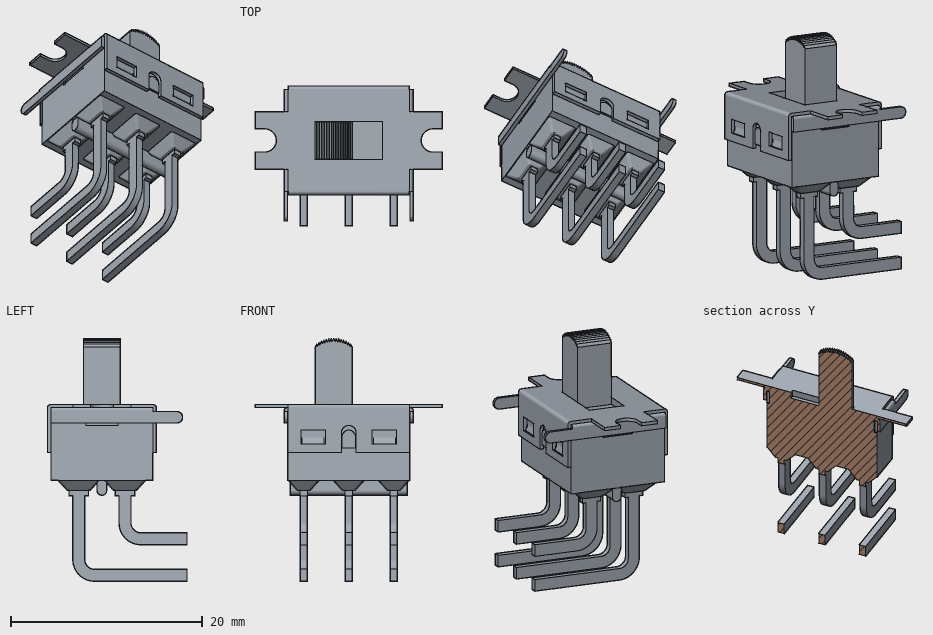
import cadquery as cq
import math


overall_width = 14.61
overall_height = 25.37

sheet = 0.37
cover_top_thickness = 0.34
cover_length = 12.68
cover_width = 11.40
cover_drop = 5.02
ear_span = 19.56
ear_width = 6.03
notch_diameter = 2.4
notch_center_x = 8.77

window_x = 3.72
window_length = 2.54
window_top = -2.68
window_bottom = -4.15
catch_x = 3.75
catch_length = 2.29
catch_top = -3.49
catch_depth = 0.20
keyway_width = 1.55
keyway_top = -2.20
key_width = 1.39
key_bottom = -4.56
key_top = -2.68
key_depth = 0.17

housing_length = 12.76
housing_width = cover_width - 2 * sheet
housing_top = -2 * sheet
housing_bottom = -7.93
end_pocket_width = 3.35
end_pocket_bottom = -2.21
end_pocket_depth = 0.30
rib_length = 12.23
rib_width = 1.02
rib_bottom = -9.49
rib_edge_radius = 0.505

bracket_span = housing_length + 2 * sheet
bracket_bend_radius = 0.33
bracket_bottom = -1.95
prong_height = 1.22
prong_tip_y = -8.43

slot_length = 7.06
slot_width = 3.94
slider_length = 3.88
slider_width = 3.88
slider_end_gap = 0.02
slider_top = 6.90
tooth_pitch = 0.254
teeth_per_side = 7
tooth_tip_radius = 2.90
tooth_outer_slope = 2.0
tooth_inner_slope = 4.0

terminal_pitch_x = 4.70
terminal_pitch_y = 4.83
terminal_thickness = 0.76
terminal_depth = 1.27
terminal_end_y = cover_width / 2 - overall_width
bend_inner_radius = 1.02
lower_terminal_bottom = slider_top - overall_height
terminal_level_step = 3.81
shoulder_width = 2.05
shoulder_bottom = -9.54

collar_top_size = (3.24, 4.32)
collar_end_size = (1.34, 2.42)
collar_corner_radius = 0.25
collar_height = 1.04
collar_end_fillet = 0.10

overlap = 0.2


def box(x_range, y_range, z_range):
    """Box between the given limits on each axis."""
    limits = (x_range, y_range, z_range)
    sizes = [high - low for low, high in limits]
    lows = [low for low, _ in limits]
    return cq.Workplane("XY").box(*sizes, centered=False).translate(tuple(lows))


def centered_box(length, width, bottom, top):
    """Box centred on the Z axis."""
    return box((-length / 2, length / 2), (-width / 2, width / 2), (bottom, top))


def arch(width, bottom, top, y_front, y_back):
    """Round-topped upright block running from y_front back to y_back."""
    radius = width / 2
    return (
        cq.Workplane("XZ", origin=(0, y_front, 0))
        .moveTo(-radius, bottom)
        .lineTo(radius, bottom)
        .lineTo(radius, top - radius)
        .threePointArc((0, top), (-radius, top - radius))
        .close()
        .extrude(y_front - y_back)
    )


def make_cover():
    """Folded cover with notched mounting ears and openings in both flanges."""
    cover = centered_box(cover_length, cover_width, -cover_drop, 0)
    cover = cover.edges("|X and >Z").fillet(sheet)
    cover = cover.cut(centered_box(cover_length, housing_width, -cover_drop, -cover_top_thickness))
    cover = cover.union(centered_box(ear_span, ear_width, -cover_top_thickness, 0))

    notch_radius = notch_diameter / 2
    for side in (-1, 1):
        notch = (
            cq.Workplane("XY", origin=(side * notch_center_x, 0, -cover_top_thickness))
            .circle(notch_radius)
            .extrude(cover_top_thickness)
        )
        mouth_x = sorted((side * notch_center_x, side * ear_span / 2))
        mouth = box(mouth_x, (-notch_radius, notch_radius), (-cover_top_thickness, 0))
        cover = cover.cut(notch).cut(mouth)

        window_center = side * window_x
        window = box(
            (window_center - window_length / 2, window_center + window_length / 2),
            (-cover_width / 2, cover_width / 2),
            (window_bottom, window_top),
        )
        cover = cover.cut(window)

    keyway = arch(keyway_width, -cover_drop, keyway_top, cover_width / 2, -cover_width / 2)
    return cover.cut(keyway)


def make_catch(center_x):
    """Wedge on the front of the housing that thickens downwards."""
    face_y = -housing_width / 2
    return (
        cq.Workplane("YZ", origin=(center_x - catch_length / 2, 0, 0))
        .moveTo(face_y, catch_top)
        .lineTo(face_y - catch_depth, window_bottom)
        .lineTo(face_y + overlap, window_bottom)
        .lineTo(face_y + overlap, catch_top)
        .close()
        .extrude(catch_length)
    )


def make_housing():
    """Housing block with cover catches, keys, end pockets and a bottom rib."""
    housing = centered_box(housing_length, housing_width, housing_bottom, housing_top)
    face_y = housing_width / 2

    front_details = arch(key_width, key_bottom, key_top, overlap - face_y, -face_y - key_depth)
    for side in (-1, 1):
        front_details = front_details.union(make_catch(side * catch_x))
    housing = housing.union(front_details).union(front_details.mirror("XZ"))

    for side in (-1, 1):
        end_x = side * housing_length / 2
        pocket_x = sorted((end_x, end_x - side * end_pocket_depth))
        pocket_y = (-end_pocket_width / 2, end_pocket_width / 2)
        housing = housing.cut(box(pocket_x, pocket_y, (end_pocket_bottom, housing_top)))

    rib = centered_box(rib_length, rib_width, rib_bottom, housing_bottom + overlap)
    return housing.union(rib.edges("|X and <Z").fillet(rib_edge_radius))


def make_bracket():
    """Channel-shaped bracket whose sides run forward as two round-ended prongs."""
    bracket = centered_box(bracket_span, housing_width, bracket_bottom, -cover_top_thickness)
    bracket = bracket.edges("|Y and >Z").fillet(bracket_bend_radius)
    bracket = bracket.cut(centered_box(housing_length, housing_width, bracket_bottom, housing_top))

    prong_radius = prong_height / 2
    prong_top = bracket_bottom + prong_height
    straight_end_y = prong_tip_y + prong_radius
    root_y = overlap - housing_width / 2
    prong = (
        cq.Workplane("YZ", origin=(-bracket_span / 2, 0, 0))
        .moveTo(root_y, bracket_bottom)
        .lineTo(straight_end_y, bracket_bottom)
        .threePointArc((prong_tip_y, bracket_bottom + prong_radius), (straight_end_y, prong_top))
        .lineTo(root_y, prong_top)
        .close()
        .extrude(sheet)
    )
    return bracket.union(prong).union(prong.mirror("YZ"))


def tooth_tip(number):
    """Tip of a grip tooth, counted outwards from the middle, on the arched top."""
    x = number * tooth_pitch
    z = slider_top - tooth_tip_radius + math.sqrt(tooth_tip_radius**2 - x**2)
    return x, z


def tooth_valley(number):
    """Valley between a tooth and its outer neighbour, where their faces meet."""
    inner_x, inner_z = tooth_tip(number)
    outer_x, outer_z = tooth_tip(number + 1)
    slope_sum = tooth_outer_slope + tooth_inner_slope
    run = (inner_z - outer_z + tooth_inner_slope * tooth_pitch) / slope_sum
    return inner_x + run, inner_z - tooth_outer_slope * run


def make_slider():
    """Slider at the -X end of its slot, with saw-like grip teeth on its arched top."""
    half_length = slider_length / 2
    center_x = half_length + slider_end_gap - slot_length / 2
    last_tip_x, last_tip_z = tooth_tip(teeth_per_side)
    shoulder_z = last_tip_z - tooth_outer_slope * (half_length - last_tip_x)

    right_side = []
    for number in range(teeth_per_side):
        right_side.append(tooth_valley(number))
        right_side.append(tooth_tip(number + 1))
    right_side.append((half_length, shoulder_z))
    right_side.append((half_length, housing_top - overlap))
    left_side = [(-x, z) for x, z in reversed(right_side)]
    return (
        cq.Workplane("XZ", origin=(center_x, slider_width / 2, 0))
        .polyline(left_side + [tooth_tip(0)] + right_side)
        .close()
        .extrude(slider_width)
    )


def collar_section(size):
    """Round-cornered rectangle used for the collar cross-sections."""
    return cq.Sketch().rect(*size).vertices().fillet(collar_corner_radius)


def make_collar():
    """Tapered collar centred on the Z axis, with its lower rim rounded off."""
    end_offset = cq.Location(cq.Vector(0, 0, -collar_height))
    collar = (
        cq.Workplane("XY", origin=(0, 0, housing_bottom))
        .placeSketch(
            collar_section(collar_top_size),
            collar_section(collar_end_size).moved(end_offset),
        )
        .loft()
    )
    return collar.faces("<Z").edges().fillet(collar_end_fillet)


def make_terminal(center_y, bottom):
    """Terminal centred on X = 0: down from the housing, then bent towards -Y."""
    back_y = center_y + terminal_depth / 2
    front_y = center_y - terminal_depth / 2
    outer_radius = bend_inner_radius + terminal_depth
    bend_y = back_y - outer_radius
    bend_z = bottom + outer_radius
    root_z = housing_bottom + overlap
    diagonal = math.sqrt(0.5)
    outer_mid = (bend_y + outer_radius * diagonal, bend_z - outer_radius * diagonal)
    inner_mid = (bend_y + bend_inner_radius * diagonal, bend_z - bend_inner_radius * diagonal)
    leg = (
        cq.Workplane("YZ", origin=(-terminal_thickness / 2, 0, 0))
        .moveTo(back_y, root_z)
        .lineTo(back_y, bend_z)
        .threePointArc(outer_mid, (bend_y, bottom))
        .lineTo(terminal_end_y, bottom)
        .lineTo(terminal_end_y, bottom + terminal_depth)
        .lineTo(bend_y, bottom + terminal_depth)
        .threePointArc(inner_mid, (front_y, bend_z))
        .lineTo(front_y, root_z)
        .close()
        .extrude(terminal_thickness)
    )
    shoulder = centered_box(terminal_thickness, shoulder_width, shoulder_bottom, root_z)
    return leg.union(shoulder.translate((0, center_y, 0)))


def make_terminals():
    """Two rows of three terminals with their collars."""
    collar = make_collar()
    upper_terminal_bottom = lower_terminal_bottom + terminal_level_step
    rows = (
        (terminal_pitch_y / 2, lower_terminal_bottom),
        (-terminal_pitch_y / 2, upper_terminal_bottom),
    )
    terminals = cq.Workplane("XY")
    for center_y, bottom in rows:
        station = make_terminal(center_y, bottom).union(collar.translate((0, center_y, 0)))
        for column in (-1, 0, 1):
            terminals = terminals.add(station.translate((column * terminal_pitch_x, 0, 0)))
    return terminals.combine()


slot = centered_box(slot_length, slot_width, housing_top, 0)
switch = (
    make_housing()
    .union(make_bracket())
    .union(make_cover())
    .cut(slot)
    .union(make_slider())
    .union(make_terminals())
)
result = cq.Workplane(switch.solids().val())